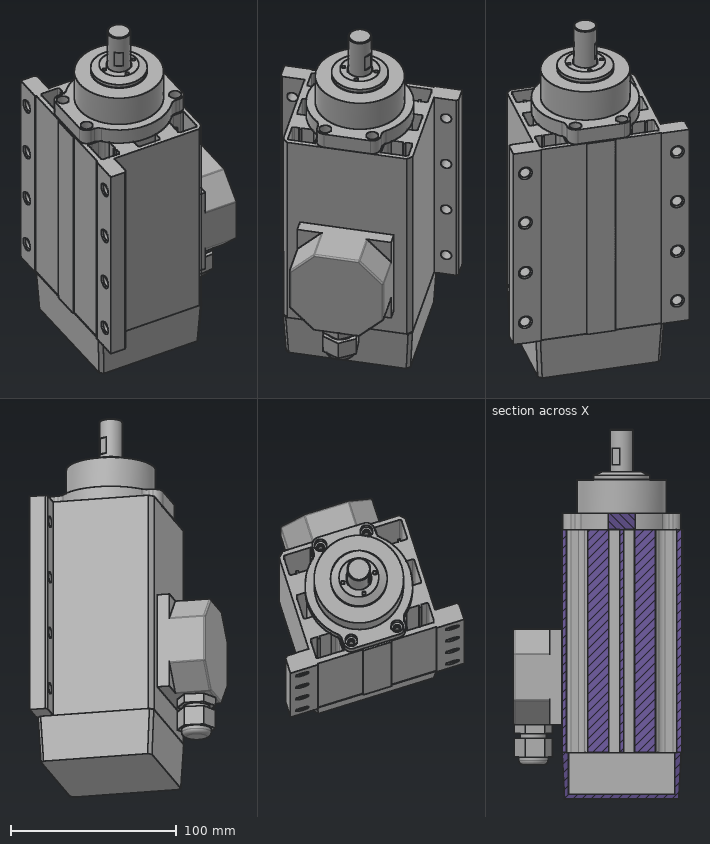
import cadquery as cq
import math

housing_length = 134.5
cover_length = 28.0

body_half_width = 40.0
body_back = 36.0
body_corner_chamfer = 3.0
foot_half_width = 55.0
foot_face = -37.0
foot_top = -26.0
foot_corner_chamfer = 1.2
relief_depth = 0.7
relief_inner = 9.0
relief_outer = 37.5
mount_hole_x = 47.5
mount_hole_diameter = 6.6
mount_hole_chamfer = 0.9
mount_hole_pitch = 35.0
mount_hole_rows = 4
mount_hole_first_z = (housing_length - (mount_hole_rows - 1) * mount_hole_pitch) / 2

channel_outer_x = 37.3
channel_outer_y = 33.2
channel_inner_y = 20.5
channel_rib_x = 32.2
channel_rib_width = 1.4
channel_rib_height = 1.4
side_channel_half_width = 7.7
channel_corner_radius = 1.2
core_radius = 31.5
core_boss_radius = 6.1
core_blend_radius = 5.0

flange_radius = 32.5
flange_thickness = 10.0
ear_radius = 5.1
ear_blend_radius = 5.0
bolt_x = 14.5
bolt_y = 30.7
counterbore_diameter = 7.4
counterbore_depth = 6.0
bolt_clearance_diameter = 4.4
bolt_thread_diameter = 3.0
bolt_thread_depth = 10.0
pilot_diameter = 54.0
pilot_height = 20.0
seat_height = 0.5

nut_diameter = 34.2
nut_face_diameter = 24.0
nut_height = 4.5
nut_rim_height = 2.2
nut_bore_diameter = 15.3
pin_hole_circle_radius = 10.1
pin_hole_diameter = 2.2
pin_hole_depth = 2.0

shaft_diameter = 14.0
shaft_overhang = 25.5
shaft_chamfer = 0.5
wrench_flat_width = 13.0
wrench_flat_length = 10.0
wrench_flat_drop = 11.5
wrench_flat_angle = 149.0

cover_half_width = 40.0
cover_half_depth = 36.0
cover_chamfer = 2.2
cover_draft = 3.0
cavity_half_width = 36.7
cavity_half_depth = 32.0
cover_floor = 3.0

box_size = 58.0
box_low_z = 16.7
box_base_height = 7.5
box_height = 29.5
box_corner_cut = 15.0
box_edge_radius = 1.0

gland_y = 53.2
gland_hex_across_corners = 23.4
gland_hex_turn = 5.0
gland_flange_height = 5.2
gland_neck_diameter = 16.0
gland_neck_height = 2.7
gland_nut_height = 11.5
gland_dome_diameter = 17.9
gland_dome_height = 4.7
gland_dome_radius = 2.7

flange_top = housing_length + flange_thickness
pilot_top = flange_top + pilot_height
seat_top = pilot_top + seat_height
nut_top = seat_top + nut_height
shaft_top = nut_top + shaft_overhang

both_sides = (-1, 1)
bolt_points = [(sx * bolt_x, sy * bolt_y) for sx in both_sides for sy in both_sides]


def plate(x0, x1, y0, y1, z0, z1):
    """Axis-aligned block between two corners."""
    return cq.Workplane("XY").box(x1 - x0, y1 - y0, z1 - z0, centered=False).translate((x0, y0, z0))


def eared_outline(radius, ear, blend, z):
    """Circle with an ear around each bolt; flats along X join the ears, blends lead into the circle."""
    ear_side = bolt_x + ear
    ear_end = bolt_y + ear
    blend_x = ear_side + blend
    blend_y = math.sqrt((radius + blend) ** 2 - blend_x**2)
    blend_angle = math.atan2(blend_y, blend_x)
    on_circle = (radius * math.cos(blend_angle), radius * math.sin(blend_angle))
    mid_turn = math.pi + blend_angle / 2
    mid_blend = (blend_x + blend * math.cos(mid_turn), blend_y + blend * math.sin(mid_turn))
    ear_diagonal = ear * math.sqrt(0.5)
    mid_ear = (bolt_x + ear_diagonal, bolt_y + ear_diagonal)

    def flip(point, sx, sy):
        return (sx * point[0], sy * point[1])

    outline = cq.Workplane("XY", origin=(0, 0, z)).moveTo(*flip(on_circle, 1, -1))
    for side in (1, -1):
        outline = (
            outline.threePointArc((side * radius, 0), flip(on_circle, side, side))
            .threePointArc(flip(mid_blend, side, side), (side * ear_side, side * blend_y))
            .lineTo(side * ear_side, side * bolt_y)
            .threePointArc(flip(mid_ear, side, side), (side * bolt_x, side * ear_end))
            .lineTo(-side * bolt_x, side * ear_end)
            .threePointArc(flip(mid_ear, -side, side), (-side * ear_side, side * bolt_y))
            .lineTo(-side * ear_side, side * blend_y)
            .threePointArc(flip(mid_blend, -side, side), flip(on_circle, -side, side))
        )
    return outline.close()


def make_channels():
    """Four corner channels and two side channels around the housing core."""
    core = eared_outline(core_radius, core_boss_radius, core_blend_radius, 0).extrude(housing_length)
    channels = plate(-channel_outer_x, channel_outer_x, -side_channel_half_width,
                     side_channel_half_width, 0, housing_length)
    channels = channels.edges("|Z").fillet(channel_corner_radius)
    for sy in both_sides:
        y0, y1 = sorted((sy * channel_inner_y, sy * channel_outer_y))
        corner_pair = plate(-channel_outer_x, channel_outer_x, y0, y1, 0, housing_length)
        channels = channels.union(corner_pair.edges("|Z").fillet(channel_corner_radius))
        rib_y0, rib_y1 = sorted((sy * channel_inner_y, sy * (channel_inner_y + channel_rib_height)))
        for sx in both_sides:
            rib_x = sx * channel_rib_x
            rib = plate(rib_x - channel_rib_width / 2, rib_x + channel_rib_width / 2,
                        rib_y0, rib_y1, 0, housing_length)
            channels = channels.cut(rib)
    return channels.cut(core)


def make_housing():
    body = plate(-body_half_width, body_half_width, foot_face, body_back, 0, housing_length)
    body = body.edges("|Z and >Y").chamfer(body_corner_chamfer)
    feet = plate(-foot_half_width, foot_half_width, foot_face, foot_top, 0, housing_length)
    feet = feet.edges("|Z and >Y").chamfer(foot_corner_chamfer)
    body = body.union(feet)

    for side in both_sides:
        x0, x1 = sorted((side * relief_inner, side * relief_outer))
        body = body.cut(plate(x0, x1, foot_face, foot_face + relief_depth, 0, housing_length))

    body = body.cut(make_channels())

    rim_radius = mount_hole_diameter / 2 + mount_hole_chamfer
    for side in both_sides:
        for row in range(mount_hole_rows):
            place = cq.Vector(side * mount_hole_x, foot_face, mount_hole_first_z + row * mount_hole_pitch)
            inward = cq.Vector(0, 1, 0)
            hole = cq.Solid.makeCylinder(mount_hole_diameter / 2, foot_top - foot_face, place, inward)
            countersink = cq.Solid.makeCone(rim_radius, mount_hole_diameter / 2, mount_hole_chamfer,
                                            place, inward)
            body = body.cut(cq.Workplane(hole)).cut(cq.Workplane(countersink))

    threads = (
        cq.Workplane("XY", origin=(0, 0, housing_length))
        .pushPoints(bolt_points)
        .circle(bolt_thread_diameter / 2)
        .extrude(-bolt_thread_depth)
    )
    return body.cut(threads)


def make_flange():
    outline = eared_outline(flange_radius, ear_radius, ear_blend_radius, housing_length)
    flange = outline.extrude(flange_thickness)
    pilot = cq.Workplane("XY", origin=(0, 0, flange_top)).circle(pilot_diameter / 2).extrude(pilot_height)
    seat = cq.Workplane("XY", origin=(0, 0, pilot_top)).circle(nut_diameter / 2).extrude(seat_height)
    bolt_holes = (
        cq.Workplane("XY", origin=(0, 0, housing_length))
        .pushPoints(bolt_points)
        .circle(bolt_clearance_diameter / 2)
        .extrude(flange_thickness)
    )
    counterbores = (
        cq.Workplane("XY", origin=(0, 0, flange_top))
        .pushPoints(bolt_points)
        .circle(counterbore_diameter / 2)
        .extrude(-counterbore_depth)
    )
    shaft_bore = (
        cq.Workplane("XY", origin=(0, 0, housing_length))
        .circle(shaft_diameter / 2)
        .extrude(seat_top - housing_length)
    )
    flange = flange.cut(bolt_holes).cut(counterbores)
    return flange.union(pilot).union(seat).cut(shaft_bore)


def make_nut():
    rim_top = seat_top + nut_rim_height
    nut = (
        cq.Workplane("XZ")
        .moveTo(nut_bore_diameter / 2, seat_top)
        .lineTo(nut_diameter / 2, seat_top)
        .lineTo(nut_diameter / 2, rim_top)
        .lineTo(nut_face_diameter / 2, nut_top)
        .lineTo(nut_bore_diameter / 2, nut_top)
        .close()
        .revolve(360, (0, 0, 0), (0, 1, 0))
    )
    pin_holes = (
        cq.Workplane("XY", origin=(0, 0, nut_top))
        .polarArray(pin_hole_circle_radius, 0, 360, 4)
        .circle(pin_hole_diameter / 2)
        .extrude(-pin_hole_depth)
    )
    return nut.cut(pin_holes)


def make_shaft():
    shaft = (
        cq.Workplane("XY", origin=(0, 0, housing_length))
        .circle(shaft_diameter / 2)
        .extrude(shaft_top - housing_length)
        .faces(">Z")
        .chamfer(shaft_chamfer)
    )
    flat_top = shaft_top - wrench_flat_drop
    for side in both_sides:
        x0, x1 = sorted((side * wrench_flat_width / 2, side * shaft_diameter))
        cutter = plate(x0, x1, -shaft_diameter, shaft_diameter, flat_top - wrench_flat_length, flat_top)
        shaft = shaft.cut(cutter.rotate((0, 0, 0), (0, 0, 1), wrench_flat_angle))
    return shaft


def make_cover():
    cover = (
        cq.Workplane("XY")
        .rect(2 * cover_half_width, 2 * cover_half_depth)
        .extrude(-cover_length, taper=cover_draft)
        .edges("not (|X or |Y)")
        .chamfer(cover_chamfer)
    )
    cavity = (
        cq.Workplane("XY")
        .rect(2 * cavity_half_width, 2 * cavity_half_depth)
        .extrude(cover_floor - cover_length)
    )
    return cover.cut(cavity)


def make_terminal_box():
    half = box_size / 2
    base = plate(-half, half, body_back, body_back + box_base_height, box_low_z, box_low_z + box_size)
    lid = (
        plate(-half, half, body_back + box_base_height, body_back + box_height,
              box_low_z, box_low_z + box_size)
        .edges("|Y")
        .chamfer(box_corner_cut)
        .edges("|Y")
        .fillet(box_edge_radius)
        .faces(">Y")
        .edges()
        .fillet(box_edge_radius)
    )
    return base.union(lid)


def make_cable_gland():
    def stage(top):
        return cq.Workplane("XY", origin=(0, gland_y, top))

    def hexagon(top, height):
        blank = stage(top).polygon(6, gland_hex_across_corners).extrude(-height)
        return blank.rotate((0, gland_y, 0), (0, gland_y, 1), 90 + gland_hex_turn)

    neck_z = box_low_z - gland_flange_height
    nut_z = neck_z - gland_neck_height
    dome_z = nut_z - gland_nut_height
    neck = stage(neck_z).circle(gland_neck_diameter / 2).extrude(-gland_neck_height)
    dome = stage(dome_z).circle(gland_dome_diameter / 2).extrude(-gland_dome_height)
    dome = dome.faces("<Z").edges().fillet(gland_dome_radius)
    gland = hexagon(box_low_z, gland_flange_height).union(neck)
    return gland.union(hexagon(nut_z, gland_nut_height)).union(dome)


housing = make_housing()
flange = make_flange()
nut = make_nut()
shaft = make_shaft()
cover = make_cover()
terminal_box = make_terminal_box()
cable_gland = make_cable_gland()

result = cq.Compound.makeCompound([
    housing.val(),
    flange.val(),
    nut.val(),
    shaft.val(),
    cover.val(),
    terminal_box.val(),
    cable_gland.val(),
])